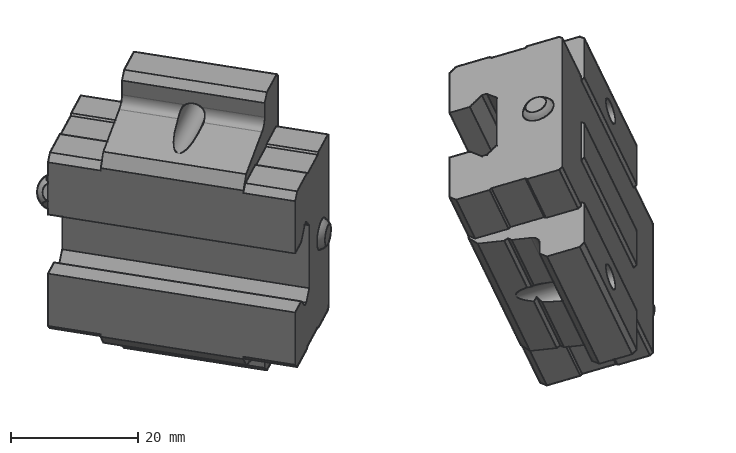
import cadquery as cq
import math

depth = 19.5
height = 52.0
body_length = 40.5

body_half_height = 16.45
back_relief = 0.5
body_back = depth - back_relief
body_back_chamfer = 0.5
body_front_chamfer = 1.15
side_groove_depth = 0.3
side_groove_near = 6.75
side_groove_far = 13.05

channel_half_mouth = 5.5
channel_half_width = 7.55
channel_half_floor = 5.9
channel_depth = 7.95
undercut_near = 5.45
lip_depth = undercut_near - (channel_half_width - channel_half_mouth)
undercut_far = channel_depth - (channel_half_width - channel_half_floor)

flange_start = 8.65
flange_length = 23.4
flange_center = flange_start + flange_length / 2
flange_half_height = height / 2
flange_front = depth - 7.55
flange_front_chamfer = 1.25
flange_back_chamfer = 0.8
slope_angle = math.radians(15)
slope_root_z = 20.65
slope_near = 1.55
slope_foot_z = 15.75
slope_fillet = 1.9
flange_pad_inner_z = 15.55
center_pad_half_height = 4.2
hole_diameter = 4.15
hole_z = 20.5

mark_y = 6.65
mark_half_width = 0.6
mark_floor_z = 18.7

bolt_y = depth - 4.6
bolt_flats = 5.1
bolt_corners = bolt_flats / math.cos(math.pi / 6)
bolt_projection = 6.05
dome_radius = 2.95
tail_projection = 1.05
tail_radius = 2.9
tail_center_inset = 1.3


def extrude_section(outline, start, length):
    """Extrude a closed (y, z) outline along X."""
    return cq.Workplane("YZ").workplane(offset=start).polyline(outline).close().extrude(length)


def mirrored(upper):
    """Complete an upper half outline with its reflection about Z = 0."""
    return upper + [(y, -z) for y, z in reversed(upper)]


def slope_z(y):
    """Height of the upper flange slope at depth y."""
    return slope_root_z - (flange_front - y) * math.tan(slope_angle)


def make_body():
    groove_z = body_half_height - side_groove_depth
    return extrude_section(mirrored([
        (0, body_half_height - body_front_chamfer),
        (body_front_chamfer, body_half_height),
        (side_groove_near, body_half_height),
        (side_groove_near + side_groove_depth, groove_z),
        (side_groove_far - side_groove_depth, groove_z),
        (side_groove_far, body_half_height),
        (body_back - body_back_chamfer, body_half_height),
        (body_back, body_half_height - body_back_chamfer),
    ]), 0, body_length)


def make_flanges():
    flanges = extrude_section(mirrored([
        (0, slope_foot_z),
        (slope_near, slope_z(slope_near)),
        (flange_front, slope_root_z),
        (flange_front, flange_half_height - flange_front_chamfer),
        (flange_front + flange_front_chamfer, flange_half_height),
        (depth - flange_back_chamfer, flange_half_height),
        (depth, flange_half_height - flange_back_chamfer),
        (depth, flange_pad_inner_z),
        (body_back, flange_pad_inner_z - back_relief),
        (body_back, center_pad_half_height + back_relief),
        (depth, center_pad_half_height),
    ]), flange_start, flange_length)
    for side in (1, -1):
        root = cq.selectors.NearestToPointSelector((flange_center, flange_front, side * slope_root_z))
        flanges = flanges.edges(root).fillet(slope_fillet)
    return flanges


def make_channel():
    return extrude_section(mirrored([
        (0, channel_half_mouth),
        (lip_depth, channel_half_mouth),
        (undercut_near, channel_half_width),
        (undercut_far, channel_half_width),
        (channel_depth, channel_half_floor),
    ]), 0, body_length)


def make_holes():
    return (
        cq.Workplane("XZ")
        .pushPoints([(flange_center, hole_z), (flange_center, -hole_z)])
        .circle(hole_diameter / 2)
        .extrude(-depth)
    )


def make_mark():
    near = mark_y - mark_half_width
    far = mark_y + mark_half_width
    outline = [(near, -slope_z(near)), (mark_y, -mark_floor_z), (far, -slope_z(far))]
    return extrude_section(outline, flange_start, flange_length)


def revolve_about_bolt(profile):
    """Revolve a profile drawn as (x, radius) about the bolt axis."""
    return profile.close().revolve(360, (0, 0, 0), (1, 0, 0)).translate((0, bolt_y, 0))


def make_shank():
    """Hexagonal bolt shank with a domed tip."""
    tip = -bolt_projection
    dome_center = tip + dome_radius
    rise = dome_radius * math.sqrt(0.5)
    hexagon = (
        cq.Workplane("YZ")
        .workplane(offset=tip)
        .center(bolt_y, 0)
        .polygon(6, bolt_corners)
        .extrude(bolt_projection)
    )
    envelope = revolve_about_bolt(
        cq.Workplane("XY")
        .moveTo(tip, 0)
        .threePointArc((dome_center - rise, rise), (dome_center, dome_radius))
        .lineTo(0, dome_radius)
        .lineTo(0, 0)
    )
    return hexagon.intersect(envelope)


def make_tail():
    """Flattened spherical bolt end on the +X face."""
    def point_at(projection):
        offset = tail_center_inset + projection
        return body_length + projection, math.sqrt(tail_radius**2 - offset**2)

    end = body_length + tail_projection
    return revolve_about_bolt(
        cq.Workplane("XY")
        .moveTo(body_length, 0)
        .lineTo(*point_at(0))
        .threePointArc(point_at(tail_projection / 2), point_at(tail_projection))
        .lineTo(end, 0)
    )


result = make_body().union(make_flanges())
result = result.cut(make_channel()).cut(make_holes()).cut(make_mark())
result = result.union(make_shank()).union(make_tail())